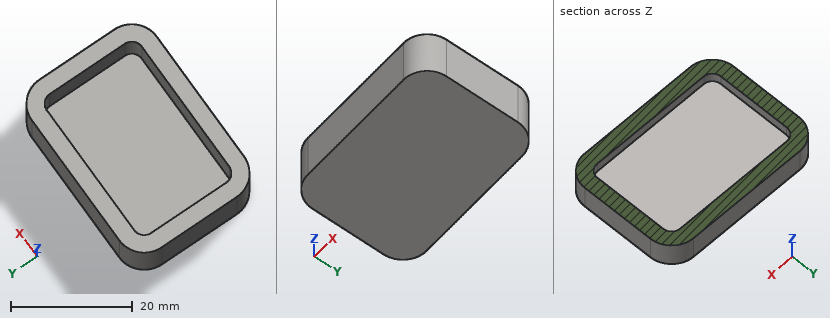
import cadquery as cq

length = 35.0
width = 25.0
height = 10.0
corner_radius = 5.0

wall = 3.0
floor_thickness = 3.0
pocket_radius = corner_radius - wall


def rounded_block(size_x, size_y, size_z, radius):
    """Block centred on the Z axis, standing on Z = 0, with rounded vertical edges."""
    block = cq.Workplane("XY").box(size_x, size_y, size_z, centered=(True, True, False))
    return block.edges("|Z").fillet(radius)


body = rounded_block(length, width, height, corner_radius)

pocket = rounded_block(
    length - 2 * wall,
    width - 2 * wall,
    height - floor_thickness,
    pocket_radius,
).translate((0, 0, floor_thickness))

result = body.cut(pocket)